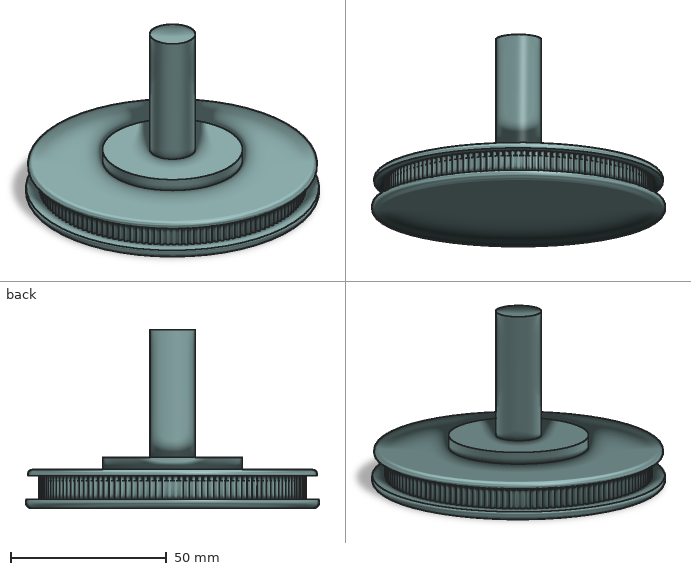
import cadquery as cq
import math

base_flange_top = 2.9
teeth_top = 10.4
cap_flange_top = 12.5
boss_top = 16.4
shaft_top = 57.5
spigot_length = 1.5
spigot_bottom = teeth_top - spigot_length

base_flange_diameter = 94.5
cap_flange_diameter = 93.1
boss_diameter = 45.0
shaft_diameter = 14.7
tooth_tip_diameter = 85.9

base_rim_radius = 2.0
cap_rim_radius = 1.5

tooth_count = 135
groove_radius = 0.6
groove_depth = 0.71
tip_round = 0.14
tip_radius = tooth_tip_diameter / 2
groove_root_radius = tip_radius - groove_depth
tooth_pitch_angle = 360 / tooth_count
first_groove_angle = -90 + tooth_pitch_angle / 2

spigot_reach = 0.01
spigot_radius = groove_root_radius + spigot_reach


def make_cylinder(radius, bottom, top):
    """Upright cylinder on the pulley axis."""
    return cq.Workplane("XY", origin=(0, 0, bottom)).circle(radius).extrude(top - bottom)


def make_flange(diameter, thickness, rim_radius):
    """Disc on Z = 0 whose rim arc starts tangent to the bottom face and curls back in at the top."""
    rim_centre = diameter / 2 - rim_radius
    top_rise = thickness - rim_radius
    top_radius = rim_centre + math.sqrt(rim_radius**2 - top_rise**2)
    return (
        cq.Workplane("XZ")
        .lineTo(rim_centre, 0)
        .threePointArc((diameter / 2, rim_radius), (top_radius, thickness))
        .lineTo(0, thickness)
        .close()
        .revolve(360, (0, 0, 0), (0, 1, 0))
    )


def make_spigot():
    """Short round spigot under the cap; it also serves as the cutter for its socket."""
    return make_cylinder(spigot_radius, spigot_bottom, teeth_top)


def make_groove_cutters():
    """Cutters for all belt grooves, each flaring out into the rounded tips of its two teeth."""
    mouth_half_width = groove_radius + tip_round
    tip_edge = math.sqrt(tip_radius**2 - mouth_half_width**2)
    wall_end = tip_edge - tip_round
    outside = tip_radius + tip_round
    diagonal = tip_round * math.sqrt(0.5)
    round_middle_x = wall_end + diagonal
    round_middle_y = mouth_half_width - diagonal
    groove = (
        cq.Workplane("XY", origin=(0, 0, base_flange_top))
        .moveTo(outside, -mouth_half_width)
        .lineTo(tip_edge, -mouth_half_width)
        .threePointArc((round_middle_x, -round_middle_y), (wall_end, -groove_radius))
        .threePointArc((groove_root_radius, 0), (wall_end, groove_radius))
        .threePointArc((round_middle_x, round_middle_y), (tip_edge, mouth_half_width))
        .lineTo(outside, mouth_half_width)
        .close()
        .extrude(teeth_top - base_flange_top)
        .val()
    )
    return [
        groove.rotate((0, 0, 0), (0, 0, 1), first_groove_angle + i * tooth_pitch_angle)
        for i in range(tooth_count)
    ]


def make_pulley():
    """Base flange with the toothed belt rim on it and a socket for the cap's spigot."""
    flange = make_flange(base_flange_diameter, base_flange_top, base_rim_radius)
    blank = make_cylinder(tip_radius, base_flange_top, teeth_top)
    toothed_rim = cq.Workplane(blank.val().cut(*make_groove_cutters()))
    return flange.union(toothed_rim).cut(make_spigot())


def make_cap():
    """Upper flange with the spigot below it and the boss and shaft above it."""
    flange = (
        make_flange(cap_flange_diameter, cap_flange_top - teeth_top, cap_rim_radius)
        .mirror("XY")
        .translate((0, 0, cap_flange_top))
    )
    boss = make_cylinder(boss_diameter / 2, cap_flange_top, boss_top)
    shaft = make_cylinder(shaft_diameter / 2, boss_top, shaft_top)
    return flange.union(make_spigot()).union(boss).union(shaft)


pulley = make_pulley()
cap = make_cap()
result = cq.Compound.makeCompound([pulley.solids().val(), cap.solids().val()])